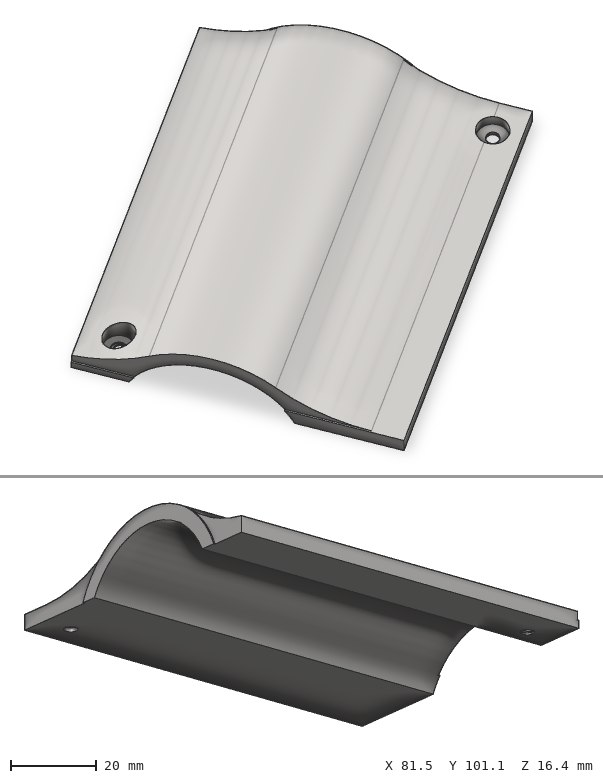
import cadquery as cq
import math

width = 81.5
length = 101.1
height = 16.4
end_step = 0.4

arch_x = 34.5
inner_radius = 22.7
wall = 3.9
outer_radius = inner_radius + wall
arch_z = height - outer_radius

right_plate_top = 3.9
left_plate_top = 2.0
blend_end_offset = 38.9

screw_diameter = 3.3
head_diameter = 8.0
left_head = (9.3, 7.7)
right_head = (74.3, 92.6)
head_seat = 1.0
left_clearance_diameter = 4.1
left_clearance_bottom = 0.5
left_screw_shift = 0.2

flat_above_axis = right_plate_top - arch_z
blend_radius = (
    (blend_end_offset**2 + flat_above_axis**2 - outer_radius**2)
    / (2 * (outer_radius - flat_above_axis))
)
blend_z = right_plate_top + blend_radius
blend_angle = math.atan2(blend_end_offset, blend_z - arch_z)


def block(x_start, x_end, y_start, y_end, z_end):
    """Box standing on the underside plane."""
    return cq.Workplane("XY").box(
        x_end - x_start, y_end - y_start, z_end, centered=False
    ).translate((x_start, y_start, 0))


def axial_cylinder(radius, y_start, y_end):
    """Cylinder on the arch axis, parallel to Y."""
    return (
        cq.Workplane("XZ", origin=(arch_x, y_start, arch_z))
        .circle(radius)
        .extrude(y_start - y_end)
    )


def blend_point(side, angle):
    """Point on a concave blend, at an angle from its lowest point."""
    return (
        arch_x + side * (blend_end_offset - blend_radius * math.sin(angle)),
        blend_z - blend_radius * math.cos(angle),
    )


def make_blend(side):
    """Solid below one concave blend; side is -1 for left and 1 for right."""
    start = blend_point(side, blend_angle)
    middle = blend_point(side, blend_angle / 2)
    end = blend_point(side, 0)
    return (
        cq.Workplane("XZ", origin=(0, end_step, 0))
        .moveTo(arch_x, 0)
        .lineTo(arch_x, start[1])
        .lineTo(*start)
        .threePointArc(middle, end)
        .lineTo(end[0], 0)
        .close()
        .extrude(-(length - 2 * end_step))
    )


def vertical_cylinder(position, diameter, bottom):
    """Cutting cylinder rising from the bottom level to above the part."""
    return (
        cq.Workplane("XY", origin=(*position, bottom))
        .circle(diameter / 2)
        .extrude(height)
    )


arch = axial_cylinder(outer_radius, end_step, length).intersect(
    block(0, width, 0, length, height)
)
plate_end = length - end_step
left_plate = block(0, arch_x, 0, plate_end, left_plate_top)
right_plate = block(arch_x, width, 0, plate_end, right_plate_top)
blends = make_blend(-1).union(make_blend(1)).intersect(block(0, width, 0, length, height))

body = arch.union(blends).union(left_plate).union(right_plate)
body = body.cut(axial_cylinder(inner_radius, 0, length))

left_screw = (left_head[0] + left_screw_shift, left_head[1] + left_screw_shift)
for screw, head in ((left_screw, left_head), (right_head, right_head)):
    body = body.cut(vertical_cylinder(screw, screw_diameter, 0))
    body = body.cut(vertical_cylinder(head, head_diameter, head_seat))
body = body.cut(vertical_cylinder(left_head, left_clearance_diameter, left_clearance_bottom))

result = body